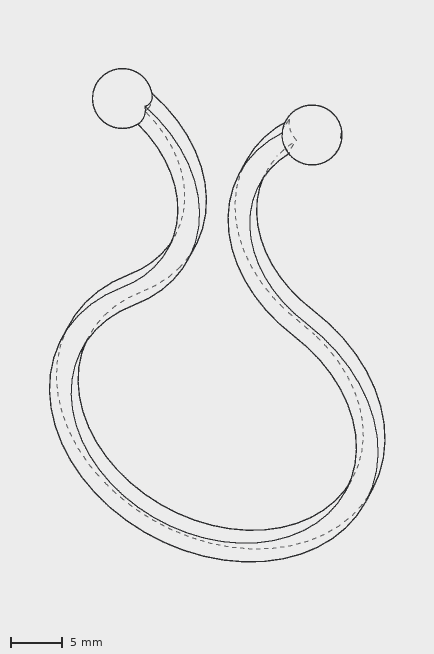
import cadquery as cq
import math

total_height = 55.5
loop_outer_diameter = 33.45
band_width = 2.2
band_depth = 2.2
ball_diameter = 5.8
ball_offset = 9.65
throat_gap = 2.9
throat_height = 24.6

loop_outer_radius = loop_outer_diameter / 2
ball_radius = ball_diameter / 2
loop_radius = loop_outer_radius - band_width / 2
throat_offset = (throat_gap + band_width) / 2
ball_height = total_height - loop_outer_radius - ball_radius

arm_radius = (throat_height**2 + throat_offset**2 - loop_radius**2) / (
    2 * (loop_radius - throat_offset)
)
arm_center_x = arm_radius + throat_offset
joint_angle = math.atan2(throat_height, arm_center_x)
end_angle = math.atan2(ball_height - throat_height, arm_center_x - ball_offset)


def loop_point(offset):
    """Right joint of loop and arm, offset outward from the loop centreline."""
    radius = loop_radius + offset
    return radius * math.cos(joint_angle), radius * math.sin(joint_angle)


def arm_point(offset, angle):
    """Point on the right arm; a positive offset lies on the outside of the loop."""
    radius = arm_radius - offset
    return arm_center_x - radius * math.cos(angle), throat_height + radius * math.sin(angle)


def mirrored(point):
    """Matching point on the left side."""
    return -point[0], point[1]


def make_band():
    """Closed outline: outer edge from left to right end, then inner edge back."""
    half = band_width / 2
    outer_joint = loop_point(half)
    outer_throat = arm_point(half, 0)
    outer_end = arm_point(half, end_angle)
    inner_joint = loop_point(-half)
    inner_throat = arm_point(-half, 0)
    inner_end = arm_point(-half, end_angle)
    return (
        cq.Workplane("XZ")
        .moveTo(*mirrored(outer_end))
        .threePointArc(mirrored(outer_throat), mirrored(outer_joint))
        .threePointArc((0, -loop_radius - half), outer_joint)
        .threePointArc(outer_throat, outer_end)
        .lineTo(*inner_end)
        .threePointArc(inner_throat, inner_joint)
        .threePointArc((0, half - loop_radius), mirrored(inner_joint))
        .threePointArc(mirrored(inner_throat), mirrored(inner_end))
        .close()
        .extrude(band_depth / 2, both=True)
    )


result = make_band()
for side in (-1, 1):
    ball = cq.Workplane("XY").sphere(ball_radius).translate((side * ball_offset, 0, ball_height))
    result = result.union(ball)